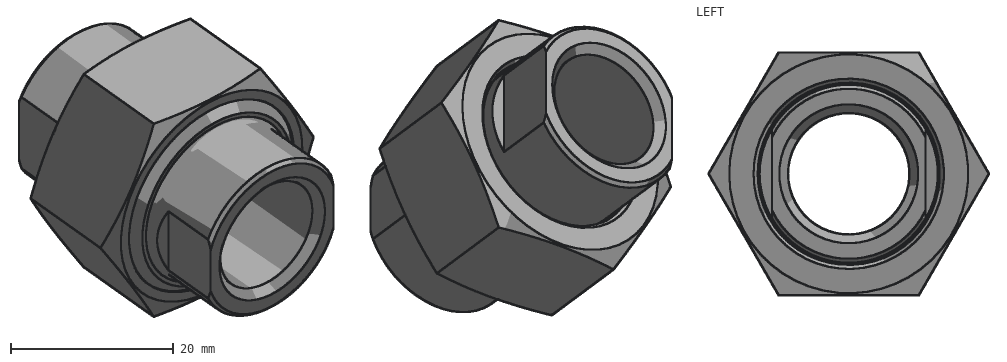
import cadquery as cq
import math


union_length = 37.0
nut_start = 10.5
nut_length = 15.0
nut_end = nut_start + nut_length

pipe_radius = 22.0 / 2
bore_radius = 14.95 / 2
countersink_radius = 17.15 / 2
countersink_depth = countersink_radius - bore_radius
end_chamfer = 0.5

nut_across_flats = 30.0
nut_across_corners = nut_across_flats / math.cos(math.radians(30))
nut_face_radius = 29.5 / 2
nut_chamfer_angle = math.radians(18.5)
nut_shoulder_thickness = 4.0
nut_hole_radius = 22.5 / 2
nut_hole_chamfer = 0.5
nut_seat_chamfer = 0.4
thread_radius = 26.85 / 2

collar_radius = 25.0 / 2
collar_start = nut_start + nut_shoulder_thickness
collar_length = 4.0
collar_fillet = 0.4
joint_face = collar_start + collar_length

head_projection = 1.0
head_end = nut_end + head_projection
head_end_radius = 12.125
head_chamfer = thread_radius - head_end_radius
neck_fillet_radius = 1.0
neck_fillet_length = 0.88
neck_end = head_end + neck_fillet_length

left_flat_half_width = 19.0 / 2
left_flat_length = 9.0
left_runout_angle = math.radians(15)
right_flat_half_width = 20.0 / 2
right_flat_length = 8.0
right_runout_angle = math.radians(45)


def revolve_about_x(profile):
    """Revolve a closed profile, drawn as (x, radius), about the X axis."""
    return profile.close().revolve(360, (0, 0, 0), (1, 0, 0))


def flat_cutters(open_x, flat_end_x, half_width, runout_angle):
    """Two prisms, at +Y and -Y, that cut flats from open_x to flat_end_x with a sloped runout."""
    direction = math.copysign(1, flat_end_x - open_x)
    cut_depth = 2 * (pipe_radius - half_width)
    runout = direction * cut_depth * math.tan(runout_angle)
    cutter = (
        cq.Workplane("XY")
        .moveTo(open_x, half_width)
        .lineTo(flat_end_x, half_width)
        .lineTo(flat_end_x + runout, half_width + cut_depth)
        .lineTo(open_x, half_width + cut_depth)
        .close()
        .extrude(pipe_radius, both=True)
    )
    return cutter.add(cutter.mirror("XZ")).combine()


def make_tailpiece():
    diagonal = collar_fillet * math.cos(math.radians(45))
    fillet_middle = (
        collar_start - collar_fillet + diagonal,
        pipe_radius + collar_fillet - diagonal,
    )
    body = revolve_about_x(
        cq.Workplane("XY")
        .moveTo(0, countersink_radius)
        .lineTo(0, pipe_radius - end_chamfer)
        .lineTo(end_chamfer, pipe_radius)
        .lineTo(collar_start - collar_fillet, pipe_radius)
        .threePointArc(fillet_middle, (collar_start, pipe_radius + collar_fillet))
        .lineTo(collar_start, collar_radius)
        .lineTo(joint_face, collar_radius)
        .lineTo(joint_face, bore_radius)
        .lineTo(countersink_depth, bore_radius)
    )
    return body.cut(flat_cutters(0, left_flat_length, left_flat_half_width, left_runout_angle))


def make_threaded_piece():
    fillet_center_radius = pipe_radius + neck_fillet_radius
    fillet_sweep = math.asin(neck_fillet_length / neck_fillet_radius)
    fillet_start_radius = fillet_center_radius - neck_fillet_radius * math.cos(fillet_sweep)
    fillet_middle = (
        neck_end - neck_fillet_radius * math.sin(fillet_sweep / 2),
        fillet_center_radius - neck_fillet_radius * math.cos(fillet_sweep / 2),
    )
    body = revolve_about_x(
        cq.Workplane("XY")
        .moveTo(joint_face, bore_radius)
        .lineTo(joint_face, thread_radius)
        .lineTo(head_end - head_chamfer, thread_radius)
        .lineTo(head_end, head_end_radius)
        .lineTo(head_end, fillet_start_radius)
        .threePointArc(fillet_middle, (neck_end, pipe_radius))
        .lineTo(union_length - end_chamfer, pipe_radius)
        .lineTo(union_length, pipe_radius - end_chamfer)
        .lineTo(union_length, countersink_radius)
        .lineTo(union_length - countersink_depth, bore_radius)
    )
    flat_end_x = union_length - right_flat_length
    return body.cut(flat_cutters(union_length, flat_end_x, right_flat_half_width, right_runout_angle))


def make_nut():
    hexagon = (
        cq.Workplane("YZ", origin=(nut_start, 0, 0))
        .polygon(6, nut_across_corners)
        .extrude(nut_length)
    )
    corner_radius = nut_across_corners / 2
    bevel = (corner_radius - nut_face_radius) * math.tan(nut_chamfer_angle)
    ring = revolve_about_x(
        cq.Workplane("XY")
        .moveTo(nut_start, nut_hole_radius + nut_hole_chamfer)
        .lineTo(nut_start, nut_face_radius)
        .lineTo(nut_start + bevel, corner_radius)
        .lineTo(nut_end - bevel, corner_radius)
        .lineTo(nut_end, nut_face_radius)
        .lineTo(nut_end, thread_radius)
        .lineTo(collar_start, thread_radius)
        .lineTo(collar_start, nut_hole_radius + nut_seat_chamfer)
        .lineTo(collar_start - nut_seat_chamfer, nut_hole_radius)
        .lineTo(nut_start + nut_hole_chamfer, nut_hole_radius)
    )
    return hexagon.intersect(ring)


tailpiece = make_tailpiece()
threaded_piece = make_threaded_piece()
nut = make_nut()

bodies = [tailpiece, threaded_piece, nut]
result = cq.Compound.makeCompound([body.solids().val() for body in bodies])